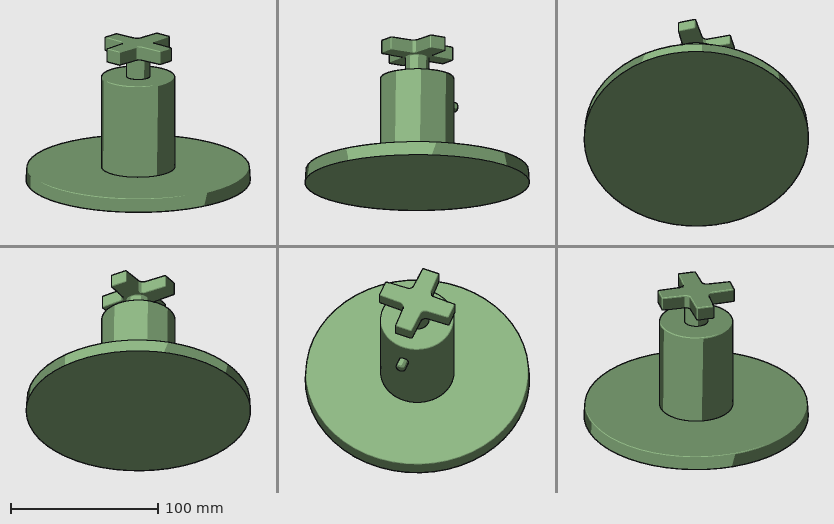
import cadquery as cq

plate_diameter = 152.4
plate_top_diameter = 151.2
plate_height = 9.5
plate_rim_fillet = 0.8

body_diameter = 50.0
body_top = 73.6
body_edge_fillet = 0.9
stem_diameter = 16.2
stem_root_fillet = 0.8

total_height = 97.5
handle_height = 9.6
handle_span = 50.9
arm_root_width = 13.4
arm_tip_width = 12.2
arm_corner_fillet = 3.4
handle_edge_fillet = 0.9

pin_diameter = 6.7
pin_tip = 32.0
pin_center_height = 57.2
pin_tip_fillet = 1.7

handle_bottom = total_height - handle_height


def make_plate():
    profile = [
        (0, 0),
        (plate_diameter / 2, 0),
        (plate_top_diameter / 2, plate_height),
        (0, plate_height),
    ]
    plate = cq.Workplane("XZ").polyline(profile).close().revolve(360, (0, 0), (0, 1))
    return plate.faces(">Z").edges().fillet(plate_rim_fillet)


def make_body():
    body = cq.Workplane("XY").circle(body_diameter / 2).extrude(body_top)
    return body.faces(">Z").edges().fillet(body_edge_fillet)


def make_pin():
    pin = (
        cq.Workplane("XZ")
        .center(0, pin_center_height)
        .circle(pin_diameter / 2)
        .extrude(-pin_tip)
    )
    return pin.faces(">Y").edges().fillet(pin_tip_fillet)


def make_handle():
    tip = handle_span / 2
    half_tip = arm_tip_width / 2
    half_root = arm_root_width / 2
    outline = []
    direction_x, direction_y = 1, 0
    for _ in range(4):
        for along, across in [(tip, -half_tip), (tip, half_tip), (half_root, half_root)]:
            x = along * direction_x - across * direction_y
            y = along * direction_y + across * direction_x
            outline.append((x, y))
        direction_x, direction_y = -direction_y, direction_x

    handle = (
        cq.Workplane("XY")
        .workplane(offset=handle_bottom)
        .polyline(outline)
        .close()
        .extrude(handle_height)
    )
    inner_corners = cq.selectors.BoxSelector(
        (-arm_root_width, -arm_root_width, 0),
        (arm_root_width, arm_root_width, total_height),
    )
    handle = handle.edges("|Z").edges(inner_corners).fillet(arm_corner_fillet)
    arm_ends = handle.faces("<X or >X or <Y or >Y")
    handle = arm_ends.edges("|Z").fillet(handle_edge_fillet)
    return handle.faces("<Z or >Z").edges().fillet(handle_edge_fillet)


def make_stem():
    radius = stem_diameter / 2
    flare_start = handle_bottom - stem_root_fillet
    flare_radius = radius + stem_root_fillet
    profile = (
        cq.Workplane("XZ")
        .moveTo(0, 0)
        .lineTo(radius, 0)
        .lineTo(radius, flare_start)
        .radiusArc((flare_radius, handle_bottom), stem_root_fillet)
        .lineTo(0, handle_bottom)
    )
    return profile.close().revolve(360, (0, 0), (0, 1))


result = make_plate().union(make_body()).union(make_pin()).union(make_stem()).union(make_handle())